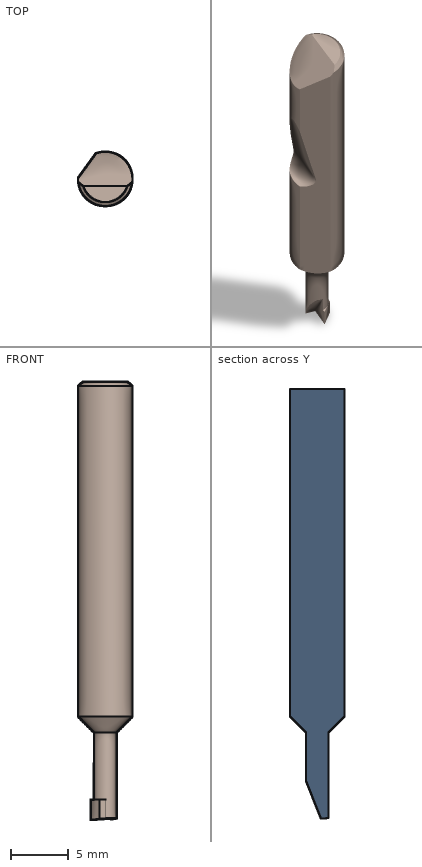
import cadquery as cq
import math

total_length = 38.1
shank_radius = 4.76 / 2
neck_radius = 1.0
neck_length = 7.62
cone_height = shank_radius - neck_radius
end_chamfer = 0.36

flat_angle = 144.0
shank_flat_offset = 1.97

bevel_edge_y = -0.62

notch_floor_y = 1.1
notch_radius = 1.05
notch_bottom_z = 21.1
notch_top_z = 29.9

tip_x = -1.27
head_height = 1.78
heel_x = -0.52
end_relief_angle = 4.0
side_relief_angle = 4.0

gash_top_z = 3.4
gash_tilt = 21.0
gash_turn = 15.0


def make_body():
    """Shank, cone and neck turned as one profile."""
    cone_top_z = neck_length + cone_height
    profile = [
        (0, 0),
        (neck_radius, 0),
        (neck_radius, neck_length),
        (shank_radius, cone_top_z),
        (shank_radius, total_length - end_chamfer),
        (shank_radius - end_chamfer, total_length),
        (0, total_length),
    ]
    return cq.Workplane("XZ").polyline(profile).close().revolve(360, (0, 0), (0, 1))


def make_shank_flat_cutter():
    """Block beyond the shank flat, from the neck end to the free end."""
    return (
        cq.Workplane("XY")
        .workplane(offset=neck_length)
        .center(shank_flat_offset + shank_radius / 2, 0)
        .rect(shank_radius, 2 * shank_radius)
        .extrude(total_length - neck_length)
        .rotate((0, 0, 0), (0, 0, 1), flat_angle)
    )


def extrude_across(outline):
    """Extrude a closed YZ outline across the full width of the shank."""
    return outline.close().extrude(shank_radius, both=True)


def make_end_bevel_cutter():
    bevel_run = shank_radius - bevel_edge_y
    return extrude_across(
        cq.Workplane("YZ")
        .moveTo(bevel_edge_y, total_length)
        .lineTo(shank_radius, total_length - bevel_run)
        .lineTo(shank_radius, total_length)
    )


def make_notch_cutter():
    """Sloping floor that ends in a round of notch_radius at its deep end."""
    center_y = notch_floor_y + notch_radius
    center_z = notch_bottom_z + notch_radius
    reach_y = shank_radius - center_y
    reach_z = notch_top_z - center_z
    reach = math.hypot(reach_y, reach_z)
    tangent_angle = math.atan2(reach_z, reach_y) + math.acos(notch_radius / reach)
    middle_angle = (tangent_angle + 1.5 * math.pi) / 2

    def on_round(angle):
        return (center_y + notch_radius * math.cos(angle), center_z + notch_radius * math.sin(angle))

    return extrude_across(
        cq.Workplane("YZ")
        .moveTo(shank_radius, notch_bottom_z)
        .lineTo(center_y, notch_bottom_z)
        .threePointArc(on_round(middle_angle), on_round(tangent_angle))
        .lineTo(shank_radius, notch_top_z)
    )


def make_head():
    """Block that carries the cutting tip out past the neck."""
    outline = [
        (0, 0),
        (tip_x, 0),
        (heel_x, -neck_radius),
        (0, -neck_radius),
    ]
    return cq.Workplane("XY").polyline(outline).close().extrude(head_height)


def make_gash_cutter():
    """Wedge over y > 0 whose floor starts at the neck surface and deepens towards z = 0."""
    floor_length = gash_top_z * math.tan(math.radians(gash_tilt))
    outline = [
        (-neck_radius, gash_top_z),
        (-2 * neck_radius, gash_top_z),
        (-2 * neck_radius, 0),
        (floor_length - neck_radius, 0),
    ]
    floor_edge = (-neck_radius, 0, 0)
    wedge = (
        cq.Workplane("XZ")
        .polyline(outline)
        .close()
        .extrude(2 * neck_radius, both=True)
        .rotate(floor_edge, (-neck_radius, 0, 1), -gash_turn)
    )
    rake_side = cq.Workplane("XY").box(
        2 * shank_radius, shank_radius, neck_length, centered=(True, False, False)
    )
    return wedge.intersect(rake_side)


def make_relief_cutter():
    """Block under the end face, which rises from the tip corner towards +X and -Y."""
    block_width = 4 * neck_radius
    tip = (tip_x, 0, 0)
    return (
        cq.Workplane("XY")
        .box(2 * block_width, 2 * block_width, neck_radius, centered=(True, True, False))
        .translate((tip_x, 0, -neck_radius))
        .rotate(tip, (tip_x + 1, 0, 0), -side_relief_angle)
        .rotate(tip, (tip_x, 1, 0), -end_relief_angle)
    )


body = make_body()
body = body.cut(make_shank_flat_cutter())
body = body.cut(make_end_bevel_cutter())
body = body.cut(make_notch_cutter())
body = body.cut(make_gash_cutter())
body = body.union(make_head())
result = body.cut(make_relief_cutter())